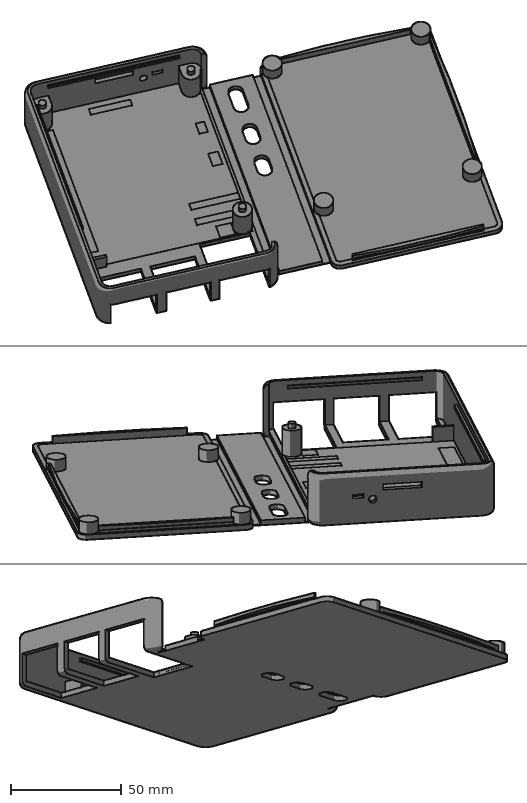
import cadquery as cq
import math


length = 191.6
tray_width = 127.3
tray_depth = 85.7
height = 25.3
plate = 2.5

wall = 2.7
corner_radius = 6.7
bottom_fillet = 2.5
rim_radius = 3.3
rim_flat = 1.3
inner_half = tray_width / 2 - wall
tray_centre_y = tray_depth / 2
floor_back = tray_depth - wall

lid_clearance = 0.2
lid_inset = wall - lid_clearance
lid_width = tray_width - 2 * lid_inset
lid_depth = tray_depth - 2 * lid_inset
lid_corner_radius = corner_radius - lid_inset
lid_front = length - lid_depth
lid_centre_y = length - lid_depth / 2

spine_width = 112.7
spine_side_gap = 0.4
spine_length = height - 2 * plate
film = 0.5
hinge_gap = (lid_front - floor_back - spine_length) / 2
spine_front = floor_back + hinge_gap
spine_centre_y = spine_front + spine_length / 2
slot_width = 6.9
slots = ((-44.7, 15.3), (-23.5, 11.9), (-4.6, 11.9))

post_radius = 4.5
post_left_x = -56.0
post_right_x = 27.0
post_offset_y = 35.0
post_front_y = tray_centre_y - post_offset_y
post_back_y = tray_centre_y + post_offset_y
shoulder_z = 15.1
pin_radius = 1.7
pin_height = 2.3
lid_post_top = 8.2

window_top = 15.0
windows = (
    (31.2, 56.5, 80.3),
    (37.4, 31.5, 52.5),
    (37.4, 5.2, 27.0),
)
wall_slots = (
    (61.1, 66.1, 13.0, 14.8),
    (34.3, 52.1, 16.3, 19.0),
)
jack_y = 57.0
jack_z = 12.0
jack_radius = 1.7

side_rail_length = 61.9
side_rail_depth = 0.8
front_rail_left = -51.4
front_rail_right = 22.6
front_rail_depth = 1.3
rail_bottom = 21.5
rail_top = height - plate

lip_inset = 1.3
lip_thickness = 1.0
lip_top = 6.0
bump_bottom = 3.8
bump_depth = 1.1
bump_rise = 0.5

rib_thickness = 1.3
rib_back = 12.5
rib_top = 9.5

inlay_depth = 1.1
inlay_bottom = plate - inlay_depth
floor_panel_right = 30.7
floor_panel_back = 81.6
lid_panel_inset = lip_inset + lip_thickness
pads = (
    (-36.5, -30.3, 74.4, 78.4),
    (-18.0, -10.5, 75.0, 79.5),
    (7.5, 11.1, 58.5, floor_panel_back),
    (16.7, 20.3, 58.5, floor_panel_back),
    (23.4, 30.3, 66.5, 73.5),
    (-58.0, -54.6, 30.3, 49.8),
    (-51.0, 22.2, 4.0, 11.3),
)


def block(x0, x1, y0, y1, z0, z1):
    box = cq.Workplane("XY").box(x1 - x0, y1 - y0, z1 - z0, centered=False)
    return box.translate((x0, y0, z0))


def rounded_plate(width, depth, radius, z0, z1, centre_y):
    box = cq.Workplane("XY").box(width, depth, z1 - z0, centered=(True, True, False))
    return box.edges("|Z").fillet(radius).translate((0, centre_y, z0))


def cylinder(x, y, radius, z0, z1):
    return cq.Workplane("XY").circle(radius).extrude(z1 - z0).translate((x, y, z0))


def tray_inside(z0, z1):
    """Space between the tray walls."""
    width = tray_width - 2 * wall
    depth = tray_depth - 2 * wall
    return rounded_plate(width, depth, corner_radius - wall, z0, z1, tray_centre_y)


def tray_shell():
    arc_width = wall - rim_flat
    crown = rim_radius - math.sqrt(rim_radius**2 - (rim_radius - arc_width) ** 2)
    shell = rounded_plate(tray_width, tray_depth, corner_radius, 0, height + crown, tray_centre_y)
    shell = shell.faces(">Z").edges().fillet(rim_radius)
    shell = shell.faces("<Z").edges().fillet(bottom_fillet)
    shell = shell.cut(block(-tray_width, tray_width, 0, tray_depth, height, height + crown))
    shell = shell.cut(tray_inside(plate, height))
    half_opening = spine_width / 2 + spine_side_gap
    return shell.cut(block(-half_opening, half_opening, floor_back, tray_depth, 0, height))


def cut_side_openings(tray):
    for left, front, back in windows:
        tray = tray.cut(block(left, tray_width / 2, front, back, 0, window_top))
    for front, back, bottom, top in wall_slots:
        tray = tray.cut(block(-tray_width / 2, -inner_half, front, back, bottom, top))
    jack_hole = cq.Workplane("YZ").center(jack_y, jack_z).circle(jack_radius).extrude(wall)
    return tray.cut(jack_hole.translate((-tray_width / 2, 0, 0)))


def add_rails_and_rib(tray):
    front = tray_centre_y - side_rail_length / 2
    back = tray_centre_y + side_rail_length / 2
    rail_face = inner_half - side_rail_depth
    tray = tray.union(block(-inner_half, -rail_face, front, back, rail_bottom, rail_top))
    tray = tray.union(block(rail_face, inner_half, front, back, rail_bottom, rail_top))
    tray = tray.union(block(front_rail_left, front_rail_right, wall, wall + front_rail_depth,
                            rail_bottom, rail_top))
    return tray.union(block(floor_panel_right, floor_panel_right + rib_thickness, wall, rib_back,
                            plate, rib_top))


def tray_posts():
    """Pinned posts standing on the floor; the two on the left are filled out to the walls."""
    posts = []
    for x, y in ((post_left_x, post_front_y), (post_left_x, post_back_y), (post_right_x, post_back_y)):
        post = cylinder(x, y, post_radius, plate, shoulder_z)
        posts.append(post.union(cylinder(x, y, pin_radius, shoulder_z, shoulder_z + pin_height)))

    fills = (
        (-inner_half, post_left_x, wall, post_front_y + post_radius),
        (post_left_x, post_left_x + post_radius, wall, post_front_y),
        (-inner_half, post_left_x, post_back_y - post_radius, floor_back),
    )
    inside = tray_inside(plate, shoulder_z)
    for fill in fills:
        posts.append(block(*fill, plate, shoulder_z).intersect(inside))
    return posts


def hinge_spine():
    half = spine_width / 2
    spine = block(-half, half, floor_back, lid_front, 0, film)
    spine = spine.union(block(-half, half, spine_front, spine_front + spine_length, 0, plate))
    for x, slot_length in slots:
        slot = cq.Workplane("XY").center(x, spine_centre_y).slot2D(slot_length, slot_width).extrude(plate)
        spine = spine.cut(slot)
    return spine


def snap_lip(lip_length, bump_length):
    """Lip along X with its outer face at y = 0 and a bowed bump on that face."""
    half = bump_length / 2
    strip = block(-lip_length / 2, lip_length / 2, -lip_thickness, 0, plate, lip_top)
    bow = (
        cq.Workplane("XY").moveTo(-half, 0)
        .threePointArc((0, bump_depth), (half, 0)).close().extrude(lip_top)
    )
    sloped_bar = (
        cq.Workplane("YZ").moveTo(0, bump_bottom)
        .lineTo(bump_depth, bump_bottom + bump_rise)
        .lineTo(bump_depth, lip_top).lineTo(0, lip_top).close().extrude(half, both=True)
    )
    return strip.union(bow.intersect(sloped_bar))


def lid_plate():
    lid = rounded_plate(lid_width, lid_depth, lid_corner_radius, 0, plate, lid_centre_y)
    side_lip = snap_lip(side_rail_length, side_rail_length)
    for side, turn in ((-1, 90), (1, -90)):
        lip_x = side * (lid_width / 2 - lip_inset)
        lid = lid.union(side_lip.rotate((0, 0, 0), (0, 0, 1), turn).translate((lip_x, lid_centre_y, 0)))
    post_span = post_right_x - post_left_x
    end_lip = snap_lip(post_span, post_span - 2 * post_radius)
    return lid.union(end_lip.translate(((post_left_x + post_right_x) / 2, length - lip_inset, 0)))


def lid_posts():
    posts = []
    for x in (post_left_x, post_right_x):
        for y in (lid_centre_y - post_offset_y, lid_centre_y + post_offset_y):
            posts.append(cylinder(x, y, post_radius, plate, lid_post_top))
    return posts


def floor_panel_outline():
    area = block(-inner_half, floor_panel_right, wall, floor_panel_back, inlay_bottom, plate)
    return tray_inside(inlay_bottom, plate).intersect(area)


def lid_panel_outline():
    width = lid_width - 2 * lid_panel_inset
    depth = lid_depth - 2 * lid_panel_inset
    radius = lid_corner_radius - lid_panel_inset
    return rounded_plate(width, depth, radius, inlay_bottom, plate, lid_centre_y)


case = add_rails_and_rib(cut_side_openings(tray_shell()))
case = case.union(hinge_spine()).union(lid_plate())
for post in tray_posts() + lid_posts():
    case = case.union(post)

floor_panel = floor_panel_outline()
lid_panel = lid_panel_outline()
case = case.cut(floor_panel).cut(lid_panel)

pad_bodies = []
for pad in pads:
    pad_body = block(*pad, inlay_bottom, plate)
    floor_panel = floor_panel.cut(pad_body)
    pad_bodies.append(pad_body.val())

result = cq.Compound.makeCompound([case.val(), floor_panel.val(), lid_panel.val(), *pad_bodies])